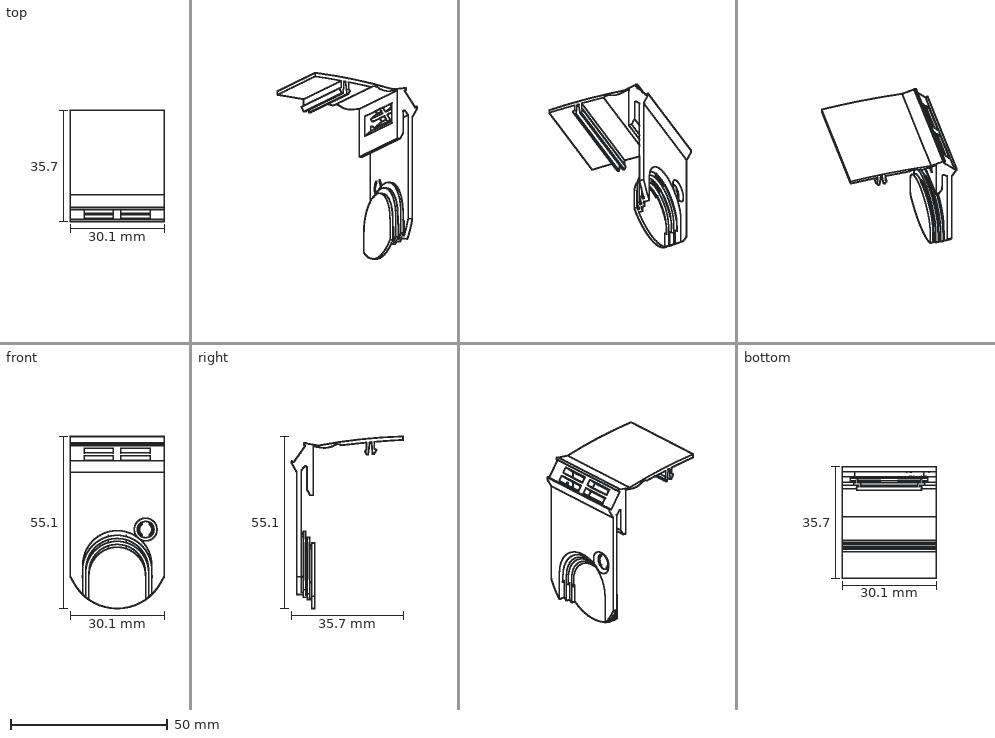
import cadquery as cq
import math


width = 30.1
height = 55.13
rear_y = 34.03
lip_y = -1.68
half_width = width / 2

plate_thickness = 1.5
end_radius = 15.85
end_edge_angle = math.radians(30)

roof_rear_thickness = 1.2
roof_top_middle = (20.5, 54.2)
valley = (6.95, 52.2)
nose_start = (2.95, 52.88)
nose_tip = (2.2, 52.68)
nose_end = (2.3, 52.35)
roof_underside_middle = (24.2, 53.25)
groove_rear = (14.4, 52.2)
groove_top = (13.3, 52.55)
groove_front = (12.4, 52.4)
bulge_rear = (11.4, 51.85)
bulge_bottom = (9.6, 51.4)
bulge_front = (7.3, 51.55)

clip_root_z = 54.0
rear_clip = [
    (24.85, clip_root_z),
    (24.85, 51.2),
    (25.55, 50.75),
    (24.75, 49.3),
    (24.25, 49.3),
    (23.95, 52.8),
    (23.75, clip_root_z),
]
front_clip = [
    (23.4, clip_root_z),
    (23.3, 52.3),
    (22.9, 49.15),
    (22.45, 49.15),
    (21.85, 50.2),
    (22.3, 50.9),
    (22.3, 53.6),
]

leg_rear_y = 5.32
leg_front_y = 3.25
leg_bottom_z = 36.2
leg_tip_thickness = 1.0
leg_taper_height = 1.9
leg_root_z = 51.9
notch_top = (2.9, 45.55)
notch_front = (2.5, 45.35)
notch_front_bottom_z = 44.2
notch_rear_z = 45.2

grille_top = (2.75, 52.1)
grille_bottom = (-0.9, 46.95)
lip_trough = (-1.25, 46.95)
lip_top = (-1.5, 47.35)
lip_front_z = 46.75
lip_bottom = (-1.45, 46.2)
plate_top_z = 43.6

slot_length = 9.3
slot_rib = 2.4
slot_height = 1.9
slot_pitch = 2.95
upper_slot_start = 0.92
slot_fall = math.radians(42)
rib_depth = 2.2
opening_depth = 7.0

layer_count = 3
arch_radius = 11.05
arch_radius_step = 1.0
arch_center_z = 13.9
layer_front_y = 2.1
layer_pitch = 1.35
layer_thickness = 0.8
layer_drop = 0.9
pad_thickness = 1.0
layer_overlap = 1.35

link_thickness = 0.75
top_link_width = 5.8
side_link_drop = 2.3
side_link_ramp = 0.4

hole_x = 9.1
hole_z = 25.3
hole_front_radius = 3.64
hole_rear_radius = 2.6
disc_radius = 2.05
cone_depth = 1.1
bridge_width = 2.4


def make_body():
    """Roof, grille block, leg and plate as one profile across the width."""
    profile = (
        cq.Workplane("YZ")
        .moveTo(rear_y, height)
        .threePointArc(roof_top_middle, valley)
        .lineTo(*nose_start)
        .threePointArc(nose_tip, nose_end)
        .lineTo(*grille_top)
        .lineTo(*grille_bottom)
        .threePointArc(lip_trough, lip_top)
        .threePointArc((lip_y, lip_front_z), lip_bottom)
        .lineTo(0, plate_top_z)
        .lineTo(0, 0)
        .lineTo(plate_thickness, 0)
        .lineTo(plate_thickness, notch_front_bottom_z)
        .lineTo(*notch_front)
        .threePointArc(notch_top, (leg_front_y, notch_rear_z))
        .lineTo(leg_front_y, leg_bottom_z + leg_taper_height)
        .lineTo(leg_rear_y - leg_tip_thickness, leg_bottom_z)
        .lineTo(leg_rear_y, leg_bottom_z)
        .lineTo(leg_rear_y, leg_root_z)
        .lineTo(*bulge_front)
        .threePointArc(bulge_bottom, bulge_rear)
        .lineTo(*groove_front)
        .threePointArc(groove_top, groove_rear)
        .threePointArc(roof_underside_middle, (rear_y, height - roof_rear_thickness))
        .close()
    )
    return profile.extrude(half_width, both=True)


def make_clip_rails():
    """Two barbed rails hanging from the roof."""
    rails = cq.Workplane()
    for outline in (rear_clip, front_clip):
        rail = cq.Workplane("YZ").polyline(outline).close().extrude(half_width, both=True)
        rails = rails.add(rail)
    return rails.combine()


def grille_point(offset, depth):
    """(y, z) at an offset down the grille slope, moved rearwards along the slot direction."""
    fall_y = grille_bottom[0] - grille_top[0]
    fall_z = grille_bottom[1] - grille_top[1]
    share = offset / math.hypot(fall_y, fall_z)
    y = grille_top[0] + share * fall_y + depth
    z = grille_top[1] + share * fall_z - depth * math.tan(slot_fall)
    return (y, z)


def slanted_block(length, center_x, first_offset, last_offset, first_depth, last_depth):
    """Block with faces along the grille slope and along the slot direction."""
    outline = [
        grille_point(first_offset, first_depth),
        grille_point(last_offset, first_depth),
        grille_point(last_offset, last_depth),
        grille_point(first_offset, last_depth),
    ]
    block = cq.Workplane("YZ").polyline(outline).close().extrude(length / 2, both=True)
    return block.translate((center_x, 0, 0))


def make_slots():
    """Two rows of two slots that run into one shared opening behind the ribs."""
    row_starts = [upper_slot_start, upper_slot_start + slot_pitch]
    opening_end = row_starts[-1] + slot_height
    opening_length = 2 * slot_length + slot_rib
    slots = slanted_block(opening_length, 0, row_starts[0], opening_end, rib_depth, opening_depth)
    slot_x = (slot_length + slot_rib) / 2
    for start in row_starts:
        for x in (-slot_x, slot_x):
            slots = slots.union(slanted_block(slot_length, x, start, start + slot_height, 0, rib_depth))
    return slots


def arch_prism(radius, center_z, front_y, depth, drop=0.0):
    """Arch with straight sides running down past the plate, sinking by drop over its depth."""
    foot_z = -end_radius
    wire = (
        cq.Workplane("XZ", origin=(0, front_y, 0))
        .moveTo(-radius, foot_z)
        .lineTo(-radius, center_z)
        .threePointArc((0, center_z + radius), (radius, center_z))
        .lineTo(radius, foot_z)
        .close()
        .wires()
        .val()
    )
    return cq.Workplane(cq.Solid.extrudeLinear(wire, [], cq.Vector(0, depth, -drop)))


def make_links(radius, center_z, front_y, rear_link_y):
    """Crown link and two side links joining an arch to the layer behind it."""
    gap = rear_link_y - front_y
    outer_radius = radius + link_thickness
    shell = arch_prism(outer_radius, center_z, front_y, gap)
    shell = shell.cut(arch_prism(radius, center_z, front_y, gap))

    crown = cq.Workplane().box(top_link_width, gap, outer_radius, centered=(True, False, False))
    side_top_z = center_z - side_link_drop
    sides = (
        cq.Workplane("YZ")
        .moveTo(front_y, side_top_z)
        .lineTo(rear_link_y, side_top_z + side_link_ramp)
        .lineTo(rear_link_y, -end_radius)
        .lineTo(front_y, -end_radius)
        .close()
        .extrude(half_width, both=True)
    )
    keep = crown.translate((0, front_y, center_z)).union(sides)
    return shell.intersect(keep)


def add_stepped_arches(body):
    """Open the plate and hang two arched layers and a closed pad behind it."""
    radius = arch_radius
    center_z = arch_center_z
    front_y = 0.0
    thickness = plate_thickness
    drop = plate_thickness
    for step in range(layer_count):
        body = body.cut(arch_prism(radius, center_z, front_y, thickness, drop))
        center_z -= drop
        next_front_y = layer_front_y + step * layer_pitch
        body = body.union(make_links(radius, center_z, front_y + thickness, next_front_y))
        front_y = next_front_y
        thickness = pad_thickness if step == layer_count - 1 else layer_thickness
        body = body.union(arch_prism(radius + layer_overlap, center_z, front_y, thickness))
        drop = layer_drop
        radius -= arch_radius_step
    return body


def make_end_outline():
    """Front outline of the whole part: straight sides, slanted edges and a round lower end."""
    tangent_x = end_radius * math.cos(end_edge_angle)
    tangent_z = end_radius * (1 - math.sin(end_edge_angle))
    corner_z = tangent_z + (half_width - tangent_x) / math.tan(end_edge_angle)
    outline = (
        cq.Workplane("XZ")
        .moveTo(-half_width, height)
        .lineTo(-half_width, corner_z)
        .lineTo(-tangent_x, tangent_z)
        .threePointArc((0, 0), (tangent_x, tangent_z))
        .lineTo(half_width, corner_z)
        .lineTo(half_width, height)
        .close()
    )
    return outline.extrude(2 * rear_y, both=True)


def make_knockout():
    """Conical recess with a ring slot behind it, interrupted by two bridges."""
    recess = cq.Workplane(
        cq.Solid.makeCone(
            hole_front_radius,
            hole_rear_radius,
            cone_depth,
            pnt=cq.Vector(hole_x, 0, hole_z),
            dir=cq.Vector(0, 1, 0),
        )
    )
    front = cq.Workplane("XZ", origin=(hole_x, 0, hole_z))
    ring = front.circle(hole_rear_radius).circle(disc_radius).extrude(-plate_thickness)
    bridges = front.rect(bridge_width, 2 * hole_front_radius).extrude(-plate_thickness)
    return recess.union(ring.cut(bridges))


result = make_body().union(make_clip_rails())
result = result.cut(make_slots())
result = add_stepped_arches(result)
result = result.intersect(make_end_outline())
result = result.cut(make_knockout())